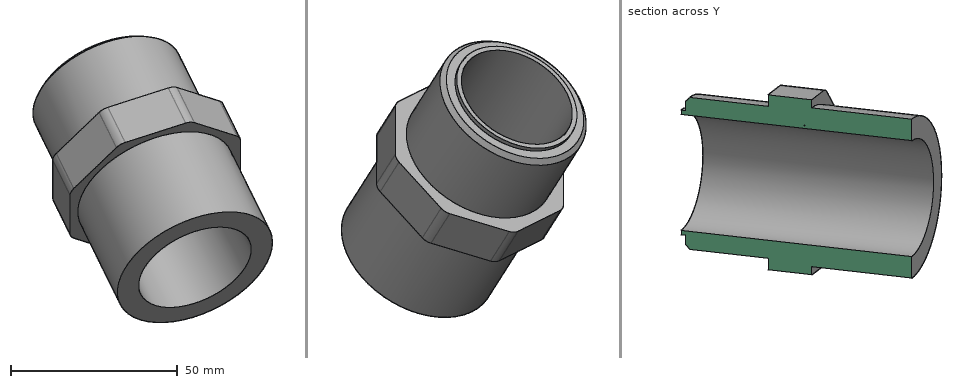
import cadquery as cq
import math

total_length = 74.0
lip_length = 1.3
collar_start = 27.9
collar_width = 14.05
collar_end = collar_start + collar_width

bore_diameter = 36.25
lip_diameter = 39.3
spigot_diameter = 47.9
socket_diameter = 50.0
spigot_chamfer = 1.5

collar_sides = 8
across_flats = 55.0
corner_radius = 4.0


def cylinder(start, end, diameter):
    """Solid cylinder on the X axis between two stations."""
    return cq.Workplane("YZ", origin=(start, 0, 0)).circle(diameter / 2).extrude(end - start)


def octagonal_collar():
    """Wrench collar with flats square to Y and Z and rounded corners."""
    half_side_angle = math.pi / collar_sides
    across_corners = across_flats / math.cos(half_side_angle)
    return (
        cq.Workplane("YZ", origin=(collar_start, 0, 0))
        .transformed(rotate=(0, 0, math.degrees(half_side_angle)))
        .polygon(collar_sides, across_corners)
        .extrude(collar_width)
        .edges("|X")
        .fillet(corner_radius)
    )


lip = cylinder(0, lip_length, lip_diameter)
spigot = cylinder(lip_length, collar_start, spigot_diameter).faces("<X").chamfer(spigot_chamfer)
socket = cylinder(collar_end, total_length, socket_diameter)
bore = cylinder(0, total_length, bore_diameter)

result = lip.union(spigot).union(octagonal_collar()).union(socket).cut(bore)